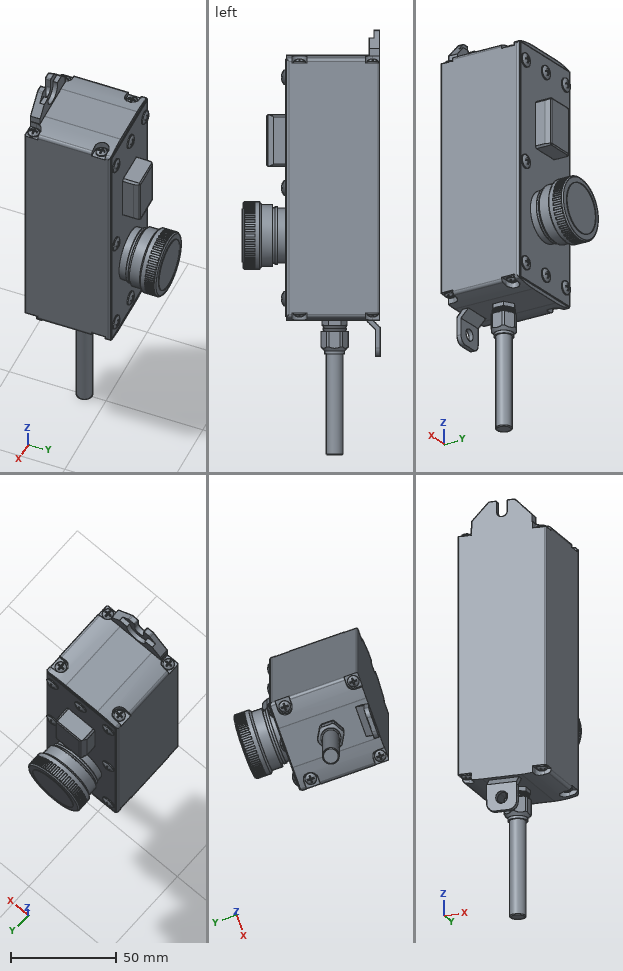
import cadquery as cq
import math

WIDTH = 45.0
DEPTH = 44.3
TUBE_LENGTH = 112.0
MID_HEIGHT = TUBE_LENGTH / 2
FRONT_EDGE_RADIUS = 1.2
BACK_EDGE_RADIUS = 0.8

LID_FACE = 44.8
LID_INSET = 0.7
LID_OVERHANG = 5.2
LID_EDGE_CHAMFER = 0.3

CAP_HEIGHT = 7.1
CROWN_FLAT_WIDTH = 20.0
CROWN_SHOULDER_HEIGHT = 5.7
CROWN_SIDE_HEIGHT = 4.0
CROWN_SIDE_WIDTH = 1.3
CROWN_SIDE_BULGE = 0.4

POCKET_FLOOR = 3.5
POCKET_RADIUS = 3.5
CAP_SCREW_RADIUS = 2.75
CAP_SCREW_HEIGHT = 1.9
BACK_SCREW = (19.1, 3.3)
FRONT_SCREW = (18.5, 38.1)

LID_SCREW_RADIUS = 3.5
LID_SCREW_HEIGHT = 1.9
LID_SCREW_X = 17.6
LID_SCREW_END_MARGIN = 3.35

HEAD_RIM = 0.6
CROSS_LENGTH = 3.4
CROSS_WIDTH = 0.6
CROSS_DEPTH = 0.9

TAB_WIDTH = 30.8
TAB_TOP_WIDTH = 13.2
TAB_TOP = TUBE_LENGTH + 19.0
TAB_THICKNESS = 5.0
TAB_THIN_THICKNESS = 2.7
TAB_LEDGE = TUBE_LENGTH + 15.3
TAB_SLOT_WIDTH = 5.5
TAB_SLOT_BOTTOM = TUBE_LENGTH + 11.0
TAB_HEAD_RADIUS = 5.8
TAB_SLOT_MOUTH_RADIUS = 0.5
TAB_CORNER_RADIUS = 1.0

LUG_WIDTH = 15.2
LUG_BACK = -0.3
LUG_THICKNESS = 2.3
LUG_BOTTOM = -24.0
LUG_BEND = -10.4
LUG_BEND_ANGLE = 45.0
LUG_CORNER_RADIUS = 4.0
LUG_HOLE_DIAMETER = 6.0
LUG_HOLE_Z = -17.4

GLAND_Y = 21.4
CABLE_DIAMETER = 8.0
CABLE_END = -70.9
CABLE_END_CHAMFER = 0.5
HEX_SIDES = 6
GLAND_FLANGE_DIAMETER = 12.0
GLAND_FLANGE_BOTTOM = -9.3
GLAND_NECK_DIAMETER = 11.2
GLAND_NECK_GROOVE = 0.4
GLAND_RING_HEIGHT = 0.7
GLAND_RINGS = 2
NUT_TOP = -12.2
NUT_BOTTOM = -19.6
NUT_HEX_DIAMETER = 13.7
NUT_TURNED_DIAMETER = 13.0
NUT_CONE_BOTTOM = -21.5
NUT_COLLAR_DIAMETER = 9.5
NUT_COLLAR_BOTTOM = -22.9

BLOCK_WIDTH = 17.6
BLOCK_FACE_LEFT = -7.1
BLOCK_FACE_RIGHT = 8.4
BLOCK_BOTTOM = 66.3
BLOCK_TOP = 90.8
BLOCK_FRONT = LID_FACE + 8.9
BLOCK_STEP = LID_FACE + 5.6
BLOCK_EDGE_CHAMFER = 1.0
BLOCK_FRONT_CHAMFER = 0.6

KNOB_Z = 33.4
KNOB_NECK_RADIUS = 13.1
KNOB_NECK_HEIGHT = 3.7
KNOB_RING_RADIUS = 13.7
KNOB_RING_HEIGHT = 4.9
KNOB_GROOVE_RADIUS = 13.3
KNOB_SHOULDER_HEIGHT = 6.1
KNOB_BODY_RADIUS = 14.8
KNOB_BODY_HEIGHT = 11.3
KNOB_GRIP_RADIUS = 16.1
KNOB_GRIP_START = 12.3
KNOB_GRIP_END = 20.1
KNOB_GRIP_CHAMFER = 0.7
KNOB_CAP_RADIUS = 12.7
KNOB_CAP_HEIGHT = 20.5
GRIP_FLUTES = 42
FLUTE_WIDTH = 1.2
FLUTE_DEPTH = 0.5
FLUTE_START = 14.5
FLUTE_END = 19.1

EMBED = 1.0
PICK_MARGIN = 0.1


def box(x_range, y_range, z_range):
    """Box from (low, high) limits along each axis."""
    size = [high - low for low, high in (x_range, y_range, z_range)]
    corner = (x_range[0], y_range[0], z_range[0])
    return cq.Workplane("XY").box(*size, centered=False).translate(corner)


def rod(radius, x, y, z_low, z_high):
    """Vertical cylinder."""
    return cq.Workplane("XY", origin=(x, y, z_low)).circle(radius).extrude(z_high - z_low)


def mirrored_about_mid_height(body):
    return body.mirror("XY", (0, 0, MID_HEIGHT))


def pan_head(radius, height):
    """Domed screw head with a cross recess, standing on Z = 0."""
    rise = height - HEAD_RIM
    sphere_radius = (radius**2 + rise**2) / (2 * rise)
    half_radius = radius / 2
    mid_drop = sphere_radius - math.sqrt(sphere_radius**2 - half_radius**2)
    dome_mid = (half_radius, height - mid_drop)
    head = (
        cq.Workplane("XZ")
        .lineTo(radius, 0)
        .lineTo(radius, HEAD_RIM)
        .threePointArc(dome_mid, (0, height))
        .close()
        .revolve(360, (0, 0, 0), (0, 1, 0))
    )
    cross = (
        cq.Workplane("XY", origin=(0, 0, height - CROSS_DEPTH))
        .rect(CROSS_LENGTH, CROSS_WIDTH)
        .extrude(height)
    )
    return head.cut(cross).cut(cross.rotate((0, 0, 0), (0, 0, 1), 90))


def rounded_block(height):
    """Housing cross-section raised from Z = 0."""
    block = box((-WIDTH / 2, WIDTH / 2), (0, DEPTH), (0, height))
    block = block.edges("|Z and >Y").fillet(FRONT_EDGE_RADIUS)
    return block.edges("|Z and <Y").fillet(BACK_EDGE_RADIUS)


def make_lid():
    half = WIDTH / 2 - LID_INSET
    lid = box(
        (-half, half),
        (DEPTH - FRONT_EDGE_RADIUS, LID_FACE),
        (-LID_OVERHANG, TUBE_LENGTH + LID_OVERHANG),
    )
    return lid.faces(">Y").edges().chamfer(LID_EDGE_CHAMFER)


def make_upper_cap():
    """Crowned cap with four corner pockets, each holding a screw."""
    half = WIDTH / 2
    flat = CROWN_FLAT_WIDTH / 2
    shoulder = half - CROWN_SIDE_WIDTH
    run = shoulder - flat
    fall = CAP_HEIGHT - CROWN_SHOULDER_HEIGHT
    crown_radius = (run**2 + fall**2) / (2 * fall)
    mid_fall = crown_radius - math.sqrt(crown_radius**2 - (run / 2) ** 2)
    crown_mid = (flat + run / 2, CAP_HEIGHT - mid_fall)
    outline = (
        cq.Workplane("XZ")
        .lineTo(half, 0)
        .lineTo(half, CROWN_SIDE_HEIGHT)
        .sagittaArc((shoulder, CROWN_SHOULDER_HEIGHT), -CROWN_SIDE_BULGE)
        .threePointArc(crown_mid, (flat, CAP_HEIGHT))
        .lineTo(0, CAP_HEIGHT)
        .mirrorY()
    )
    cap = outline.extrude(-DEPTH).intersect(rounded_block(CAP_HEIGHT))
    for side in (-1, 1):
        for (x, y), open_to_back in ((BACK_SCREW, True), (FRONT_SCREW, False)):
            cap = cap.cut(corner_pocket(side, x, y, open_to_back))
            screw = pan_head(CAP_SCREW_RADIUS, CAP_SCREW_HEIGHT)
            cap = cap.union(screw.translate((side * x, y, POCKET_FLOOR)))
    return cap.translate((0, 0, TUBE_LENGTH))


def corner_pocket(side, x, y, open_to_back):
    """Round pocket opened out to the cap side and, if asked, to the back face."""
    levels = (POCKET_FLOOR, CAP_HEIGHT)
    to_side = sorted((side * x, side * WIDTH))
    pocket = rod(POCKET_RADIUS, side * x, y, *levels)
    pocket = pocket.union(box(to_side, (y - POCKET_RADIUS, y + POCKET_RADIUS), levels))
    if open_to_back:
        inner = sorted((side * (x - POCKET_RADIUS), side * WIDTH))
        pocket = pocket.union(box(inner, (-DEPTH, y), levels))
    return pocket


def make_upper_tab():
    """Plate with 45 degree shoulders, an open slot and a screw head recess."""
    half = TAB_WIDTH / 2
    top_half = TAB_TOP_WIDTH / 2
    shoulder = TAB_TOP - (half - top_half)
    tab = (
        cq.Workplane("XZ")
        .polyline(
            [
                (-half, TUBE_LENGTH),
                (half, TUBE_LENGTH),
                (half, shoulder),
                (top_half, TAB_TOP),
                (-top_half, TAB_TOP),
                (-half, shoulder),
            ]
        )
        .close()
        .extrude(-TAB_THICKNESS)
    )
    tab = tab.faces(">Z").edges("|Y").fillet(TAB_CORNER_RADIUS)
    front_layer = (TAB_THIN_THICKNESS, TAB_THICKNESS)
    tab = tab.cut(box((-half, half), front_layer, (TAB_LEDGE, TAB_TOP)))
    slot_half = TAB_SLOT_WIDTH / 2
    slot_centre = TAB_SLOT_BOTTOM + slot_half
    slot = box((-slot_half, slot_half), (0, TAB_THICKNESS), (slot_centre, TAB_TOP))
    slot_end = (
        cq.Workplane("XZ", origin=(0, 0, slot_centre)).circle(slot_half).extrude(-TAB_THICKNESS)
    )
    head_recess = (
        cq.Workplane("XZ", origin=(0, TAB_THIN_THICKNESS, slot_centre))
        .circle(TAB_HEAD_RADIUS)
        .extrude(TAB_THIN_THICKNESS - TAB_THICKNESS)
    )
    tab = tab.cut(slot).cut(slot_end).cut(head_recess)
    mouth = cq.selectors.BoxSelector(
        (-slot_half - PICK_MARGIN, 0, TAB_TOP - PICK_MARGIN),
        (slot_half + PICK_MARGIN, TAB_THICKNESS, TAB_TOP + PICK_MARGIN),
    )
    return tab.edges("|Y").edges(mouth).fillet(TAB_SLOT_MOUTH_RADIUS)


def make_lower_lug():
    """Strip leaving the lower cap at an angle, then running straight down the back."""
    front = LUG_BACK + LUG_THICKNESS
    bend_shift = LUG_THICKNESS * math.tan(math.radians(LUG_BEND_ANGLE / 2))
    slope = math.tan(math.radians(LUG_BEND_ANGLE))
    root = -CAP_HEIGHT + EMBED
    lug = (
        cq.Workplane("YZ")
        .polyline(
            [
                (LUG_BACK, LUG_BOTTOM),
                (front, LUG_BOTTOM),
                (front, LUG_BEND - bend_shift),
                (front + (root - LUG_BEND + bend_shift) * slope, root),
                (LUG_BACK + (root - LUG_BEND) * slope, root),
                (LUG_BACK, LUG_BEND),
            ]
        )
        .close()
        .extrude(LUG_WIDTH / 2, both=True)
    )
    lug = lug.edges("|Y and <Z").fillet(LUG_CORNER_RADIUS)
    hole = (
        cq.Workplane("XZ", origin=(0, LUG_BACK, LUG_HOLE_Z))
        .circle(LUG_HOLE_DIAMETER / 2)
        .extrude(-LUG_THICKNESS)
    )
    return lug.cut(hole)


def make_gland():
    """Cable gland with hexagonal flange, ringed neck, nut, collar and cable."""
    flange = (
        cq.Workplane("XY", origin=(0, GLAND_Y, GLAND_FLANGE_BOTTOM))
        .polygon(HEX_SIDES, GLAND_FLANGE_DIAMETER)
        .extrude(-GLAND_FLANGE_BOTTOM - CAP_HEIGHT + EMBED)
        .rotate((0, GLAND_Y, 0), (0, GLAND_Y, 1), 90)
    )
    neck_radius = GLAND_NECK_DIAMETER / 2
    neck = rod(neck_radius - GLAND_NECK_GROOVE, 0, GLAND_Y, NUT_TOP, GLAND_FLANGE_BOTTOM)
    for index in range(GLAND_RINGS):
        ring_z = NUT_TOP + (2 * index + 1) * GLAND_RING_HEIGHT
        neck = neck.union(rod(neck_radius, 0, GLAND_Y, ring_z, ring_z + GLAND_RING_HEIGHT))
    collar_radius = NUT_COLLAR_DIAMETER / 2
    turned_radius = NUT_TURNED_DIAMETER / 2
    turned_shape = (
        cq.Workplane("XZ")
        .polyline(
            [
                (0, NUT_CONE_BOTTOM),
                (collar_radius, NUT_CONE_BOTTOM),
                (turned_radius, NUT_BOTTOM),
                (turned_radius, NUT_TOP),
                (0, NUT_TOP),
            ]
        )
        .close()
        .revolve(360, (0, 0, 0), (0, 1, 0))
        .translate((0, GLAND_Y, 0))
    )
    nut = (
        cq.Workplane("XY", origin=(0, GLAND_Y, NUT_CONE_BOTTOM))
        .polygon(HEX_SIDES, NUT_HEX_DIAMETER)
        .extrude(NUT_TOP - NUT_CONE_BOTTOM)
        .rotate((0, GLAND_Y, 0), (0, GLAND_Y, 1), 90)
        .intersect(turned_shape)
    )
    collar = rod(collar_radius, 0, GLAND_Y, NUT_COLLAR_BOTTOM, NUT_CONE_BOTTOM)
    cable = rod(CABLE_DIAMETER / 2, 0, GLAND_Y, CABLE_END, -CAP_HEIGHT)
    cable = cable.edges("<Z").chamfer(CABLE_END_CHAMFER)
    return flange.union(neck).union(nut).union(collar).union(cable)


def make_block():
    """Switch block with leaning sides and chamfered end and front edges."""
    half = BLOCK_WIDTH / 2
    block = (
        cq.Workplane("XY", origin=(0, 0, BLOCK_BOTTOM))
        .polyline(
            [
                (-half, DEPTH),
                (half, DEPTH),
                (half, BLOCK_STEP),
                (BLOCK_FACE_RIGHT, BLOCK_FRONT),
                (BLOCK_FACE_LEFT, BLOCK_FRONT),
                (-half, BLOCK_STEP),
            ]
        )
        .close()
        .extrude(BLOCK_TOP - BLOCK_BOTTOM)
    )
    side_ends = block.faces("<X or >X").edges("|Y")
    block = side_ends.chamfer(BLOCK_EDGE_CHAMFER)
    return block.faces(">Y").edges().chamfer(BLOCK_FRONT_CHAMFER)


def make_knob():
    """Turned knob about Z with a fluted grip, laid over to point along +Y."""
    profile = [
        (0, DEPTH - LID_FACE),
        (KNOB_NECK_RADIUS, DEPTH - LID_FACE),
        (KNOB_NECK_RADIUS, KNOB_NECK_HEIGHT),
        (KNOB_RING_RADIUS, KNOB_NECK_HEIGHT),
        (KNOB_RING_RADIUS, KNOB_RING_HEIGHT),
        (KNOB_GROOVE_RADIUS, KNOB_RING_HEIGHT),
        (KNOB_GROOVE_RADIUS, KNOB_SHOULDER_HEIGHT),
        (KNOB_BODY_RADIUS, KNOB_SHOULDER_HEIGHT),
        (KNOB_BODY_RADIUS, KNOB_BODY_HEIGHT),
        (KNOB_GRIP_RADIUS, KNOB_GRIP_START),
        (KNOB_GRIP_RADIUS, KNOB_GRIP_END - KNOB_GRIP_CHAMFER),
        (KNOB_GRIP_RADIUS - KNOB_GRIP_CHAMFER, KNOB_GRIP_END),
        (KNOB_CAP_RADIUS, KNOB_GRIP_END),
        (KNOB_CAP_RADIUS, KNOB_CAP_HEIGHT),
        (0, KNOB_CAP_HEIGHT),
    ]
    knob = cq.Workplane("XZ").polyline(profile).close().revolve(360, (0, 0, 0), (0, 1, 0))
    flutes = (
        cq.Workplane("XY", origin=(0, 0, FLUTE_START))
        .polarArray(KNOB_GRIP_RADIUS, 0, 360, GRIP_FLUTES)
        .rect(2 * FLUTE_DEPTH, FLUTE_WIDTH)
        .extrude(FLUTE_END - FLUTE_START)
    )
    knob = knob.cut(flutes)
    return knob.rotate((0, 0, 0), (1, 0, 0), -90).translate((0, LID_FACE, KNOB_Z))


def make_lid_screws():
    """Two columns of three screws, plus one on the centre line at each end."""
    low = LID_SCREW_END_MARGIN
    high = TUBE_LENGTH - LID_SCREW_END_MARGIN
    places = [(x, z) for x in (-LID_SCREW_X, LID_SCREW_X) for z in (low, MID_HEIGHT, high)]
    places += [(0, low), (0, high)]
    head = pan_head(LID_SCREW_RADIUS, LID_SCREW_HEIGHT).rotate((0, 0, 0), (1, 0, 0), -90)
    return [head.translate((x, LID_FACE, z)) for x, z in places]


upper_cap = make_upper_cap()
result = rounded_block(TUBE_LENGTH).union(make_lid()).union(upper_cap)
result = result.union(mirrored_about_mid_height(upper_cap))
result = result.union(make_upper_tab()).union(make_lower_lug()).union(make_gland())
result = result.union(make_block()).union(make_knob())
for screw in make_lid_screws():
    result = result.union(screw)